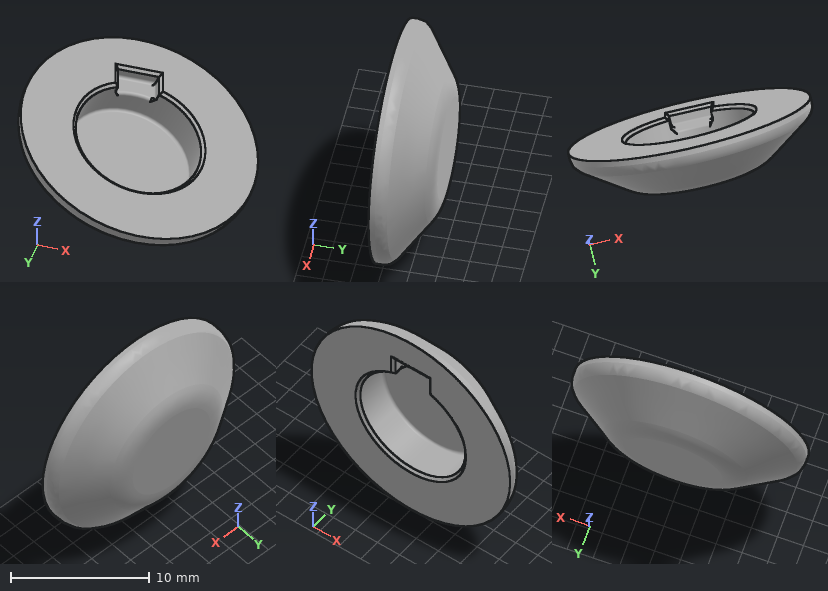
import cadquery as cq

body_radius = 9.0
body_height = 4.0
rim_height = 1.0
crown_radius = 4.75
rim_round = 1.0
crown_round = 3.0

recess_radius = 4.75
recess_depth = 3.1

notch_width = 3.1
notch_reach = 6.125
notch_depth = 1.1

edge_break = 0.25
floor_round = 0.25

tolerance = 0.01


def slab(radius, y_start, y_end):
    """Selection box around everything within radius of the axis between two depths."""
    reach = radius + tolerance
    return cq.selectors.BoxSelector(
        (-reach, y_start - tolerance, -reach),
        (reach, y_end + tolerance, reach),
        boundingbox=True,
    )


def make_body():
    """Revolve the sharp profile, then round the rim and the crown."""
    profile = (
        cq.Workplane("XY")
        .moveTo(0, 0)
        .lineTo(body_radius, 0)
        .lineTo(body_radius, rim_height)
        .lineTo(crown_radius, body_height)
        .lineTo(0, body_height)
        .close()
    )
    body = profile.revolve(360, (0, 0, 0), (0, 1, 0))
    body = body.edges(slab(body_radius, rim_height, rim_height)).fillet(rim_round)
    return body.edges(slab(body_radius, body_height, body_height)).fillet(crown_round)


def cut_recess(body):
    """Sink the round recess and its notch into the front face."""
    recess = cq.Workplane("XZ").circle(recess_radius).extrude(-recess_depth)
    notch = (
        cq.Workplane("XZ")
        .center(0, notch_reach / 2)
        .rect(notch_width, notch_reach)
        .extrude(-notch_depth)
    )
    return body.cut(recess).cut(notch)


def finish_recess(body):
    """Round both floors and the step between them, and chamfer the shared mouth."""
    inner_radius = notch_reach
    body = body.edges(slab(inner_radius, recess_depth, recess_depth)).fillet(floor_round)
    body = body.edges(slab(inner_radius, notch_depth, notch_depth)).fillet(floor_round)
    return body.edges(slab(inner_radius, 0, 0)).chamfer(edge_break)


result = finish_recess(cut_recess(make_body()))